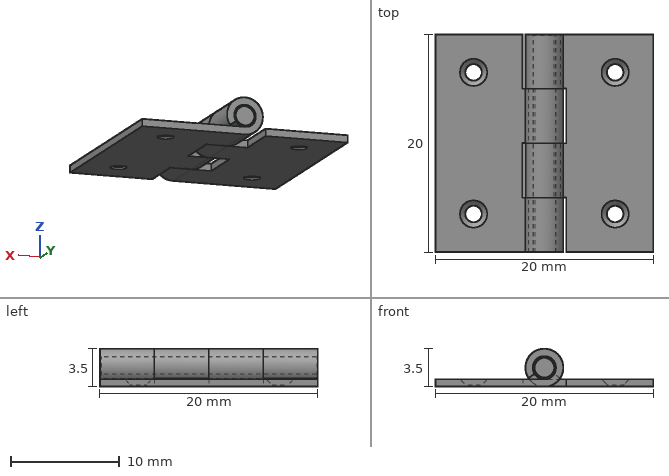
import cadquery as cq
import math

HINGE_WIDTH = 20.0
HINGE_LENGTH = 20.0
LEAF_THICKNESS = 0.7
KNUCKLE_DIAMETER = 3.5
KNUCKLE_COUNT = 4
NOTCH_EDGE = 2.0
PIN_DIAMETER = 2.0
PIN_CHAMFER = 0.1
CURL_END_ANGLE = 33.0
CURL_MIDDLE_ANGLE = 45.0
SCREW_SPACING = 13.0
SCREW_HOLE_DIAMETER = 1.5
COUNTERSINK_DIAMETER = 2.5
COUNTERSINK_ANGLE = 90.0

KNUCKLE_RADIUS = KNUCKLE_DIAMETER / 2
BORE_RADIUS = KNUCKLE_RADIUS - LEAF_THICKNESS
KNUCKLE_LENGTH = HINGE_LENGTH / KNUCKLE_COUNT
AXIS_HEIGHT = KNUCKLE_RADIUS


def axis_point(radius, angle):
    """Point (X, Z) at a polar position around the pin axis, angle in degrees."""
    radians = math.radians(angle)
    return (radius * math.cos(radians), AXIS_HEIGHT + radius * math.sin(radians))


def make_plate():
    """Flat part of the left leaf, ending short of the knuckles."""
    width = HINGE_WIDTH / 2 - NOTCH_EDGE
    return cq.Workplane("XY", origin=(-HINGE_WIDTH / 2, 0, 0)).box(
        width, HINGE_LENGTH, LEAF_THICKNESS, centered=(False, True, False)
    )


def make_knuckle(start_y):
    """Strip that runs from the plate under the pin axis and curls back over it."""
    curl_end = 180 + CURL_END_ANGLE
    return (
        cq.Workplane("XZ", origin=(0, start_y + KNUCKLE_LENGTH, 0))
        .moveTo(-NOTCH_EDGE, 0)
        .lineTo(0, 0)
        .threePointArc(axis_point(KNUCKLE_RADIUS, CURL_MIDDLE_ANGLE), axis_point(KNUCKLE_RADIUS, curl_end))
        .lineTo(*axis_point(BORE_RADIUS, curl_end))
        .threePointArc(axis_point(BORE_RADIUS, CURL_MIDDLE_ANGLE), (0, LEAF_THICKNESS))
        .lineTo(-NOTCH_EDGE, LEAF_THICKNESS)
        .close()
        .extrude(KNUCKLE_LENGTH)
    )


def cut_screw_holes(leaf):
    """Countersink the leaf for its two screws."""
    half_spacing = SCREW_SPACING / 2
    return (
        leaf.copyWorkplane(cq.Workplane("XY", origin=(0, 0, LEAF_THICKNESS)))
        .pushPoints([(-half_spacing, -half_spacing), (-half_spacing, half_spacing)])
        .cskHole(SCREW_HOLE_DIAMETER, COUNTERSINK_DIAMETER, COUNTERSINK_ANGLE)
    )


def make_left_leaf():
    """Leaf on the -X side; it owns every other knuckle, starting at the -Y end."""
    leaf = make_plate()
    for index in range(0, KNUCKLE_COUNT, 2):
        leaf = leaf.union(make_knuckle(-HINGE_LENGTH / 2 + index * KNUCKLE_LENGTH))
    return cut_screw_holes(leaf)


def make_right_leaf():
    """The same leaf turned half a turn about Z, so its knuckles fill the gaps."""
    return make_left_leaf().rotate((0, 0, 0), (0, 0, 1), 180)


def make_pin():
    """Round pin, as long as the hinge, with a chamfer on both ends."""
    return (
        cq.Workplane("XZ", origin=(0, HINGE_LENGTH / 2, AXIS_HEIGHT))
        .circle(PIN_DIAMETER / 2)
        .extrude(HINGE_LENGTH)
        .faces("<Y or >Y")
        .chamfer(PIN_CHAMFER)
    )


left_leaf = make_left_leaf()
right_leaf = make_right_leaf()
pin = make_pin()

result = cq.Compound.makeCompound([left_leaf.val(), right_leaf.val(), pin.val()])